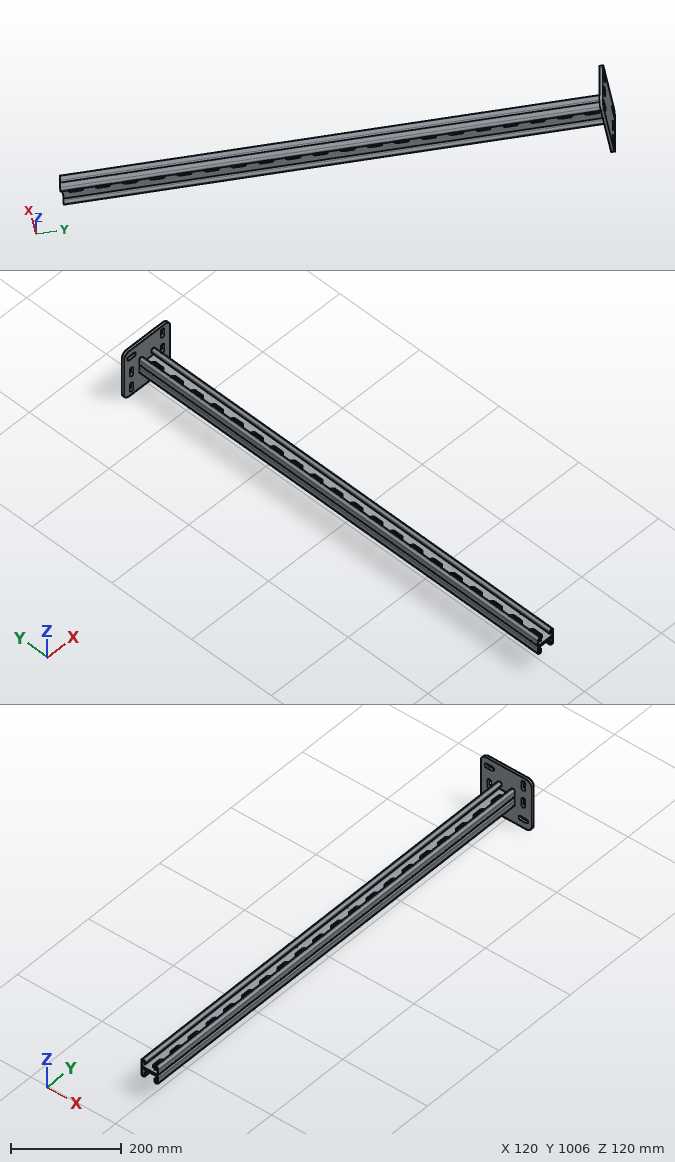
import cadquery as cq

overall_length = 1006.0
plate_size = 120.0
plate_thickness = 6.0
plate_corner_radius = 13.0
plate_slot_spacing = 40.0
plate_slot_length = 22.0
plate_slot_width = 9.0

arm_size = 40.0
sheet_thickness = 2.5
bend_radius = 4.0
lip_width = 9.0
lip_depth = 9.0

arm_slot_count = 20
arm_slot_length = 28.0
arm_slot_width = 11.0

arm_length = overall_length - plate_thickness
arm_slot_pitch = arm_length / arm_slot_count
channel_height = arm_size / 2
inner_radius = bend_radius - sheet_thickness
half_width = arm_size / 2


def bar(x_min, x_max, z_min, z_max):
    """Square-edged bar running the full arm length from the free end at Y = 0."""
    blank = cq.Workplane("XY").box(x_max - x_min, arm_length, z_max - z_min, centered=False)
    return blank.translate((x_min, 0, z_min))


def make_channel():
    """Upper channel: web on Z = 0, side walls up, lips bent inward and back down."""
    channel = bar(-half_width, half_width, 0, channel_height).edges("|Y").fillet(bend_radius)

    wall = half_width - sheet_thickness
    lip_face = half_width - lip_width
    lip_end = channel_height - lip_depth
    cavity = bar(-wall, wall, sheet_thickness, lip_end).edges("|Y and <Z").fillet(inner_radius)
    mouth = bar(-lip_face, lip_face, sheet_thickness, channel_height)
    channel = channel.cut(cavity).cut(mouth)

    for side in (-1, 1):
        mouth_edge = (side * lip_face, arm_length / 2, channel_height)
        channel = channel.edges(cq.NearestToPointSelector(mouth_edge)).fillet(bend_radius)

    hollow = bar(lip_face + sheet_thickness, wall, lip_end, channel_height - sheet_thickness)
    hollow = hollow.edges("|Y and >Z").fillet(inner_radius)
    return channel.cut(hollow).cut(hollow.mirror("YZ"))


def make_arm():
    """Two channels back to back, with a row of slots through the double web."""
    channel = make_channel()
    arm = channel.union(channel.mirror("XY"))
    slot_places = [(0, (i + 0.5) * arm_slot_pitch) for i in range(arm_slot_count)]
    slots = (
        cq.Workplane("XY")
        .pushPoints(slot_places)
        .slot2D(arm_slot_length, arm_slot_width, 90)
        .extrude(sheet_thickness, both=True)
    )
    return arm.cut(slots)


def make_plate():
    """Square mounting plate behind the arm with six slots."""
    plate = (
        cq.Workplane("XY")
        .box(plate_size, plate_thickness, plate_size)
        .edges("|Y")
        .fillet(plate_corner_radius)
    )
    for column, row, angle in [
        (-1, 1, 0), (-1, 0, 90), (-1, -1, 90),
        (1, 1, 90), (1, 0, 90), (1, -1, 0),
    ]:
        slot = (
            cq.Workplane("XZ")
            .center(column * plate_slot_spacing, row * plate_slot_spacing)
            .slot2D(plate_slot_length, plate_slot_width, angle)
            .extrude(plate_thickness, both=True)
        )
        plate = plate.cut(slot)
    return plate.translate((0, arm_length + plate_thickness / 2, 0))


result = make_arm().union(make_plate())